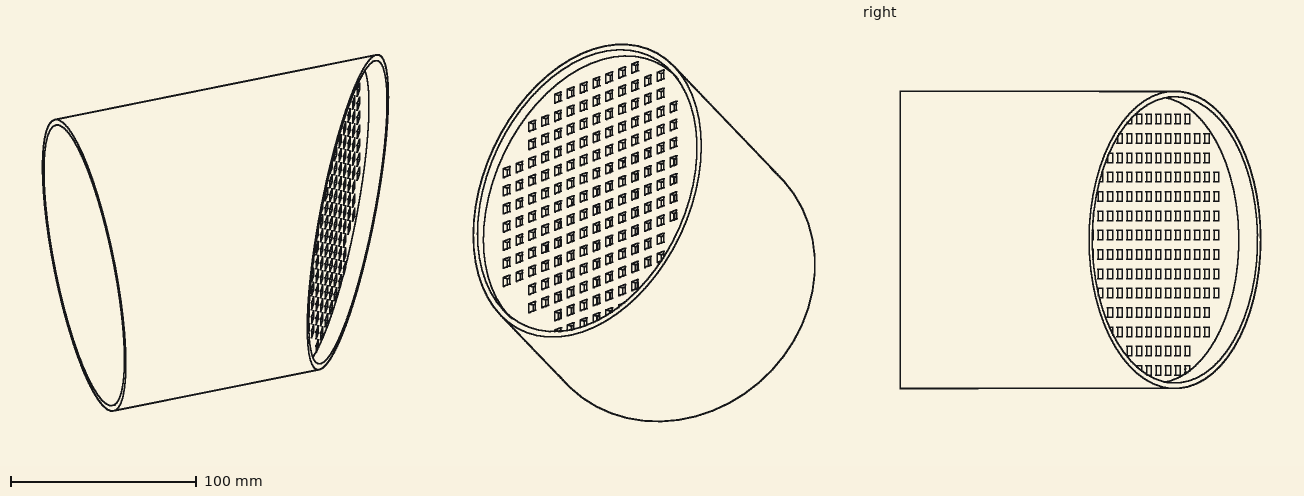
import cadquery as cq
import math

outer_diameter = 160.0
bore_diameter = 154.0
length = 194.0
slant_angle = 30.0

grille_diameter = 157.0
grille_thickness = 3.0
grille_recess = 10.0

hole_size = 5.0
hole_grid_span = 135.3
holes_across = 14
hole_pitch = hole_grid_span / (holes_across - 1)
short_row = (3, 4)
middle_row = (1, 2)
full_row = (0, 0)
hole_rows = 2 * [short_row] + 2 * [middle_row] + 7 * [full_row] + 2 * [middle_row] + [short_row]
columns_left_of_axis_hole = 6
rows_below_axis_hole = 7

slant_cos = math.cos(math.radians(slant_angle))
slant_sin = math.sin(math.radians(slant_angle))
mouth_y = -length / 2
slant_center_y = length / 2 - outer_diameter / 2 * slant_sin / slant_cos
beyond_tube = 3 * length


def slanted_plane(center_y):
    """Plane parallel to the slanted mouth, crossing the tube axis at center_y.

    Local x runs down the slope, local y is +Z, and the normal points into the tube.
    """
    return cq.Plane(
        origin=(0, center_y, 0),
        xDir=(slant_cos, -slant_sin, 0),
        normal=(-slant_sin, -slant_cos, 0),
    )


def cylinder_along_y(diameter):
    """Cylinder on the tube axis, spanning the full length of the tube."""
    return cq.Workplane("XZ", origin=(0, mouth_y, 0)).circle(diameter / 2).extrude(-length)


def slanted_slab(plane, thickness):
    """Slab wider than the tube, from the plane inwards."""
    return cq.Workplane(plane).rect(beyond_tube, beyond_tube).extrude(thickness)


grille_plane = slanted_plane(slant_center_y - grille_recess)


def make_grille_disc():
    """Grille without its holes, which is also the shape of the room it takes up in the tube."""
    return cylinder_along_y(grille_diameter).intersect(slanted_slab(grille_plane, grille_thickness))


def make_tube():
    blank = cylinder_along_y(outer_diameter).intersect(slanted_slab(slanted_plane(slant_center_y), beyond_tube))
    return blank.cut(cylinder_along_y(bore_diameter)).cut(make_grille_disc())


def hole_centers():
    first_x = -hole_size / 2 - columns_left_of_axis_hole * hole_pitch
    first_y = hole_size / 2 - rows_below_axis_hole * hole_pitch
    return [
        (first_x + column * hole_pitch, first_y + row * hole_pitch)
        for row, (skipped_left, skipped_right) in enumerate(hole_rows)
        for column in range(skipped_left, holes_across - skipped_right)
    ]


def make_grille():
    holes = (
        cq.Workplane(grille_plane)
        .pushPoints(hole_centers())
        .rect(hole_size, hole_size)
        .extrude(grille_thickness)
    )
    return make_grille_disc().cut(holes)


tube = make_tube()
grille = make_grille()
result = cq.Compound.makeCompound([tube.val(), grille.val()])